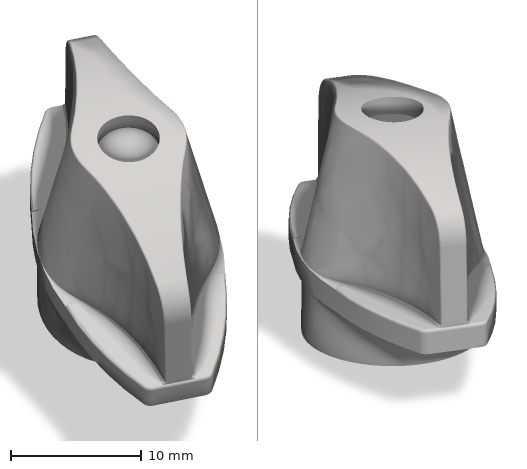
import cadquery as cq
import math

boss_diameter = 14.0
boss_height = 4.5
boss_radius = boss_diameter / 2

flange_thickness = 2.0
flange_top = boss_height + flange_thickness
flange_half_length = 15.0
flange_end_half_width = 2.5
flange_shoulder = (5.0, 6.35)
flange_side_mid = (9.76, 5.1)
flange_corner_radius = 0.8
flange_edge_fillet = 0.25
middle_bevel_height = 0.15
middle_bevel_width = 0.9

total_height = 18.5
ridge_top_radius = 4.45
base_end_half_width = 1.05
top_end_half_width = 1.1
base_end_angle = 5.0
top_end_angle = 0.0
flank_points_per_side = 10
grip_edge_fillet = 0.15
root_blend = 0.18

grip_base_half_length = 14.86
crown_end_half_length = 14.56
crown_end_z = 14.95
grip_shoulder_radius = 3.0

recess_diameter = 4.8
recess_depth = 1.5


def mirrored_flank(points):
    """Mirror a +X, +Y quarter about the Y axis, running from the +X end to the -X end."""
    return points + [(-x, y) for x, y in reversed(points[:-1])]


def opposite(points):
    """Turn points half a revolution about Z."""
    return [(-x, -y) for x, y in points]


def make_flange():
    end = (flange_half_length, flange_end_half_width)
    flank = mirrored_flank([end, flange_side_mid, flange_shoulder, (0, boss_radius)])
    plan = cq.Workplane("XY", origin=(0, 0, boss_height)).moveTo(flank[0][0], -flank[0][1])
    for side in (flank, opposite(flank)):
        plan = plan.lineTo(*side[0])
        for arc_middle, arc_end in zip(side[1::2], side[2::2]):
            plan = plan.threePointArc(arc_middle, arc_end)
    plate = plan.close().extrude(flange_thickness)
    plate = plate.edges("|Z and (<X or >X)").fillet(flange_corner_radius)
    shoulder_x = flange_shoulder[0]
    middle_zone = cq.Workplane("XY").box(2 * shoulder_x, 2 * boss_diameter, 2 * total_height)
    rim_arcs = plate.intersect(middle_zone).faces(">Z").edges(">Y or <Y")
    middle = rim_arcs.chamfer(middle_bevel_height, middle_bevel_width)
    wings = plate.faces(">Z").edges().fillet(flange_edge_fillet).cut(middle_zone)
    return wings.union(middle)


def grip_section(z, ridge_radius, end_half_width, end_angle):
    """Plan outline of the grip: a ridge arc flowing tangentially into hollow arcs at both sides."""
    end_x = flange_half_length
    sine = math.sin(math.radians(end_angle))
    cosine = math.cos(math.radians(end_angle))
    hollow_radius = (end_x**2 + end_half_width**2 - ridge_radius**2) / (
        2 * (ridge_radius - end_x * sine - end_half_width * cosine)
    )
    hollow_x = end_x + hollow_radius * sine
    hollow_y = end_half_width + hollow_radius * cosine
    contact_x = ridge_radius * hollow_x / math.hypot(hollow_x, hollow_y)

    def half_width(x):
        if x < contact_x:
            return math.sqrt(ridge_radius**2 - x**2)
        return hollow_y - math.sqrt(hollow_radius**2 - (hollow_x - x) ** 2)

    stations = [end_x * (1 - i / flank_points_per_side) for i in range(flank_points_per_side + 1)]
    flank = mirrored_flank([(x, half_width(x)) for x in stations])
    other_flank = opposite(flank)
    return (
        cq.Workplane("XY", origin=(0, 0, z))
        .spline(flank)
        .lineTo(*other_flank[0])
        .spline(other_flank[1:], includeCurrent=True)
        .close()
        .val()
    )


def ruled_solid(lower, upper):
    return cq.Workplane(cq.Solid.makeLoft([lower, upper], True))


def make_grip_profile():
    """Side outline of the grip, extruded through its full width."""
    profile = (
        cq.Workplane("XZ")
        .moveTo(-grip_base_half_length, flange_top)
        .lineTo(grip_base_half_length, flange_top)
        .lineTo(crown_end_half_length, crown_end_z)
        .threePointArc((0, total_height), (-crown_end_half_length, crown_end_z))
        .close()
        .extrude(boss_radius, both=True)
    )
    crown_ends = profile.edges("|Y").edges(">Z")
    return crown_ends.fillet(grip_shoulder_radius)


def make_grip():
    base = grip_section(flange_top, boss_radius, base_end_half_width, base_end_angle)
    top = grip_section(total_height, ridge_top_radius, top_end_half_width, top_end_angle)
    grip = ruled_solid(base, top).intersect(make_grip_profile())
    flank_edges = grip.edges("not |Y").edges(cq.selectors.BoxSelector(
        (-flange_half_length, -boss_radius, flange_top + root_blend),
        (flange_half_length, boss_radius, total_height),
    ))
    return flank_edges.fillet(grip_edge_fillet)


def make_root_flare():
    """Thin flare where the hollow flanks meet the flange, fading out at the ridge."""
    foot = grip_section(flange_top, boss_radius, base_end_half_width + root_blend, base_end_angle)
    rise = root_blend / (total_height - flange_top)
    neck = grip_section(
        flange_top + root_blend,
        boss_radius + rise * (ridge_top_radius - boss_radius),
        base_end_half_width + rise * (top_end_half_width - base_end_half_width),
        base_end_angle + rise * (top_end_angle - base_end_angle),
    )
    return ruled_solid(foot, neck).intersect(make_grip_profile())


def make_recess():
    floor = cq.Workplane("XY", origin=(0, 0, total_height - recess_depth))
    return floor.circle(recess_diameter / 2).extrude(recess_depth)


boss = cq.Workplane("XY").circle(boss_radius).extrude(boss_height)
result = boss.union(make_flange()).union(make_grip()).union(make_root_flare()).cut(make_recess())